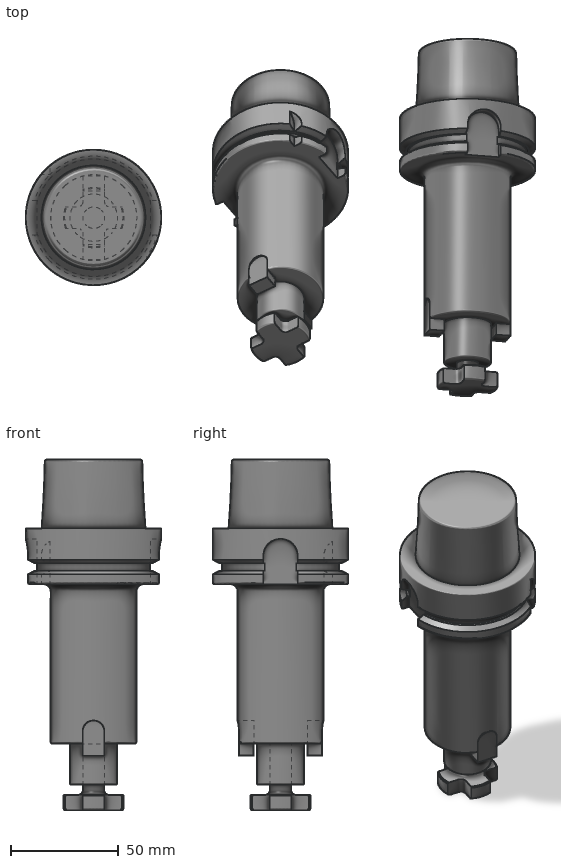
import cadquery as cq
import math


shank_length = 32.0
shank_base_radius = 24.2
shank_middle_radius = 23.2
shank_top_radius = 22.7
shank_edge_radius = 1.2

flange_radius = 63.0 / 2
flange_length = 26.0
flange_top_edge = 0.5
flange_bottom_edge = 1.0
groove_center = 17.95
groove_width = 3.6
groove_radius = 27.3
groove_bevel_radius = 28.6
groove_bevel_height = (flange_radius - groove_bevel_radius) * math.tan(math.radians(30))

body_radius = 40.0 / 2
body_end = 100.0
body_edge = 1.0
neck_fillet = 3.1
pilot_radius = 22.0 / 2
pilot_length = 19.0
pilot_edge = 0.8
pilot_end = body_end + pilot_length

slot_width = 16.0
slot_radius = slot_width / 2
slot_top = 4.9
slot_floor = 26.3
notch_wall = 20.0
notch_floor = 20.4

key_width = 10.0
key_radius = key_width / 2
key_top = 89.2
key_bottom = 105.5
key_inner = 12.5
key_outer = math.sqrt(body_radius**2 - key_radius**2)

screw_radius = 10.0 / 2
screw_depth = pilot_length
screw_end = 131.0
head_radius = 28.0 / 2
head_height = 7.3
head_top = screw_end - head_height
head_fillet = 2.0
head_top_edge = 0.5
head_bottom_edge = 1.2
arm_width = 10.0
arm_corner_radius = 2.5


def round_top_prism(plane, center, top, bottom, radius, start, depth):
    """Round-topped prism standing between depths `top` and `bottom`, extruded along the normal of `plane`."""
    spring = top + radius
    return (
        cq.Workplane(plane)
        .workplane(offset=start)
        .moveTo(center - radius, -bottom)
        .lineTo(center - radius, -spring)
        .threePointArc((center, -top), (center + radius, -spring))
        .lineTo(center + radius, -bottom)
        .close()
        .extrude(depth)
    )


def make_turned_holder():
    """Shank, flange, body and pilot revolved from one half profile."""
    upper_lip = groove_center - groove_width / 2
    lower_lip = groove_center + groove_width / 2
    profile = (
        cq.Workplane("XZ")
        .moveTo(0, shank_length)
        .lineTo(shank_top_radius, shank_length)
        .threePointArc((shank_middle_radius, shank_length / 2), (shank_base_radius, 0))
        .lineTo(flange_radius - flange_top_edge, 0)
        .radiusArc((flange_radius, -flange_top_edge), flange_top_edge)
        .lineTo(flange_radius, -(upper_lip - groove_bevel_height))
        .lineTo(groove_bevel_radius, -upper_lip)
        .lineTo(groove_radius, -upper_lip)
        .lineTo(groove_radius, -lower_lip)
        .lineTo(groove_bevel_radius, -lower_lip)
        .lineTo(flange_radius, -(lower_lip + groove_bevel_height))
        .lineTo(flange_radius, -(flange_length - flange_bottom_edge))
        .radiusArc((flange_radius - flange_bottom_edge, -flange_length), flange_bottom_edge)
        .lineTo(body_radius + neck_fillet, -flange_length)
        .radiusArc((body_radius, -(flange_length + neck_fillet)), -neck_fillet)
        .lineTo(body_radius, -(body_end - body_edge))
        .radiusArc((body_radius - body_edge, -body_end), body_edge)
        .lineTo(pilot_radius, -body_end)
        .lineTo(pilot_radius, -pilot_end)
        .lineTo(0, -pilot_end)
        .close()
    )
    holder = profile.revolve(360, (0, 0, 0), (0, 1, 0))
    holder = holder.faces(">Z").edges().fillet(shank_edge_radius)
    return holder.faces("<Z").edges().fillet(pilot_edge)


def make_flange_slots():
    """Two driving slots across the flange and the offset notch beside the -X one."""
    drive_slot = round_top_prism("YZ", 0, slot_top, flange_length, slot_radius, slot_floor, flange_radius)
    notch_center = -(notch_wall + slot_radius)
    notch = round_top_prism(
        "YZ", notch_center, slot_top, flange_length, slot_radius, notch_floor, flange_radius
    )
    half_turn = ((0, 0, 0), (0, 0, 1), 180)
    return [drive_slot, drive_slot.rotate(*half_turn), notch.rotate(*half_turn)]


def make_key(bottom, outer, side_angle):
    """Round-topped key on the -Y side, turned about Z by `side_angle`."""
    key = round_top_prism("XZ", 0, key_top, bottom, key_radius, key_inner, outer - key_inner)
    return key.rotate((0, 0, 0), (0, 0, 1), side_angle)


def make_screw():
    """Screw with a plain shank and a head milled to a cross of four arms."""
    head = cq.Workplane("XY").workplane(offset=-screw_end).circle(head_radius).extrude(head_height)
    head = head.faces("<Z").edges().fillet(head_bottom_edge)
    head = head.faces(">Z").edges().chamfer(head_top_edge)
    shank_top = -(pilot_end - screw_depth)
    neck = (
        cq.Workplane("XZ")
        .moveTo(0, shank_top)
        .lineTo(screw_radius, shank_top)
        .lineTo(screw_radius, -(head_top - head_fillet))
        .radiusArc((screw_radius + head_fillet, -head_top), -head_fillet)
        .lineTo(0, -head_top)
        .close()
        .revolve(360, (0, 0, 0), (0, 1, 0))
    )
    screw = head.union(neck)
    gap_height = head_height + head_fillet
    gap = (
        cq.Workplane("XY")
        .workplane(offset=-screw_end)
        .center(arm_width / 2, arm_width / 2)
        .rect(head_radius, head_radius, centered=False)
        .extrude(gap_height)
        .edges("|Z and <X and <Y")
        .fillet(arm_corner_radius)
    )
    for quarter in range(4):
        screw = screw.cut(gap.rotate((0, 0, 0), (0, 0, 1), 90 * quarter))
    return screw


key_sides = (0, 180)

holder = make_turned_holder()
for slot in make_flange_slots():
    holder = holder.cut(slot)
for side in key_sides:
    holder = holder.cut(make_key(body_end, body_radius, side))
screw_hole = cq.Workplane("XY").workplane(offset=-pilot_end).circle(screw_radius).extrude(screw_depth)
holder = holder.cut(screw_hole)

keys = [make_key(key_bottom, key_outer, side) for side in key_sides]
screw = make_screw()

result = cq.Compound.makeCompound([holder.val(), *[key.val() for key in keys], screw.val()])